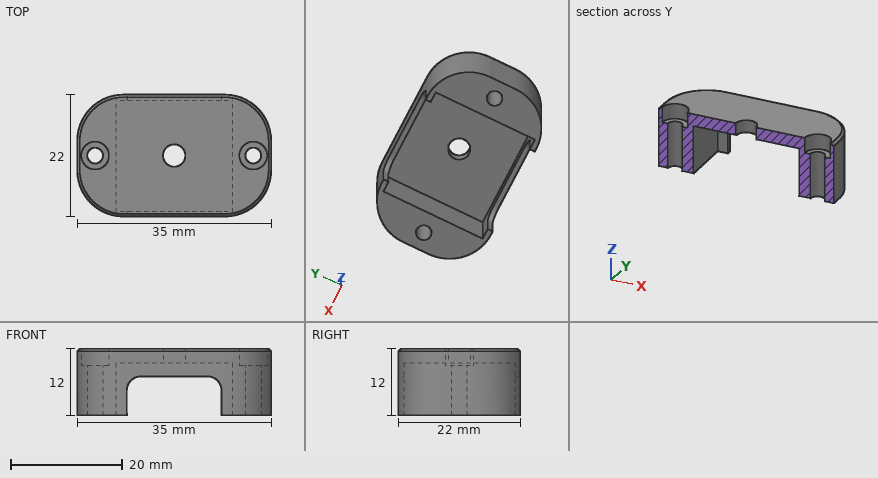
import cadquery as cq

length = 35.0
width = 22.0
height = 12.0
corner_radius = 8.4
top_chamfer = 0.5

channel_width = 17.0
channel_top = 7.0
channel_bottom = -2.0
channel_fillet = 2.5

cavity_length = 21.0
wall_thickness = 1.0
roof_thickness = 2.5

center_hole_diameter = 4.0
screw_spacing = 28.5
screw_hole_diameter = 2.8
counterbore_diameter = 5.0
counterbore_depth = 3.0


def rounded_block():
    """Block with rounded vertical corners and a chamfered top rim."""
    block = cq.Workplane("XY").box(length, width, height, centered=(True, True, False))
    return block.edges("|Z").fillet(corner_radius).faces(">Z").chamfer(top_chamfer)


def channel():
    """Channel cutter whose lower roundings narrow the opening slightly at the base."""
    channel_height = channel_top - channel_bottom
    cutter = cq.Workplane("XY").box(channel_width, width, channel_height, centered=(True, True, False))
    return cutter.edges("|Y").fillet(channel_fillet).translate((0, 0, channel_bottom))


def cavity():
    """Rectangular cutter that hollows the middle of the block."""
    return cq.Workplane("XY").box(
        cavity_length,
        width - 2 * wall_thickness,
        height - roof_thickness,
        centered=(True, True, False),
    )


body = rounded_block().cut(channel()).cut(cavity())
body = body.faces(">Z").workplane(origin=(0, 0, height)).hole(center_hole_diameter)

screw_positions = [(-screw_spacing / 2, 0), (screw_spacing / 2, 0)]
result = (
    body.faces(">Z")
    .workplane(origin=(0, 0, height))
    .pushPoints(screw_positions)
    .cboreHole(screw_hole_diameter, counterbore_diameter, counterbore_depth)
)